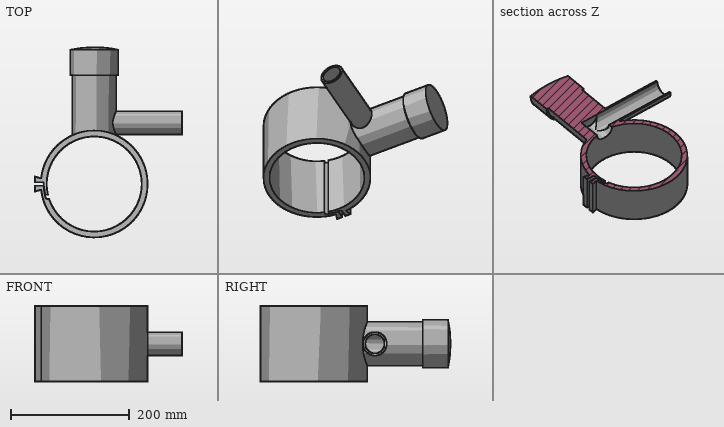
import cadquery as cq
import math

ring_radius = 90.3
bore_radius = 80.0
ring_height = 128.0

split_width = 5.8
split_corner_radius = 1.5
lap_radius = 85.2
lap_clearance = 0.3
tongue_end_y = -18.3
pocket_end_y = -25.0
pocket_corner_radius = 4.0

lug_tip_x = -100.0
lug_root_x = -89.7
lug_tip_y = 13.0
lug_root_y = 9.5

pipe_radius = 37.3
cap_radius = 40.8
cap_start_y = 183.8
cap_edge_y = 226.5
cap_top_y = 231.0

branch_radius = 20.0
branch_y = 103.0
branch_end_x = 148.0

passage_radius = 16.0


def base_plane():
    """XY workplane at the lower face of the ring."""
    return cq.Workplane("XY", origin=(0, 0, -ring_height / 2))


def upright(sketch):
    """Extrude an XY outline over the full ring height."""
    return sketch.extrude(ring_height)


def upright_cylinder(radius):
    return upright(base_plane().circle(radius))


def cylinder_along_y(radius, start_y, end_y):
    return cq.Workplane("XZ", origin=(0, start_y, 0)).circle(radius).extrude(start_y - end_y)


def cylinder_along_x(radius, end_x):
    return cq.Workplane("YZ", origin=(0, branch_y, 0)).circle(radius).extrude(end_x)


def make_lugs():
    """Pair of lugs flaring outward, joined until the split is cut."""
    outline = [
        (-lap_radius, lug_root_y),
        (lug_root_x, lug_root_y),
        (lug_tip_x, lug_tip_y),
        (lug_tip_x, -lug_tip_y),
        (lug_root_x, -lug_root_y),
        (-lap_radius, -lug_root_y),
    ]
    return upright(base_plane().polyline(outline).close())


def make_pipe():
    """Main pipe and cap; the cap ends in a shallow spherical dome."""
    pipe = cylinder_along_y(pipe_radius, 0, cap_start_y)
    dome_height = cap_top_y - cap_edge_y
    sphere_radius = (cap_radius**2 + dome_height**2) / (2 * dome_height)
    mid_x = cap_radius / 2
    mid_y = cap_top_y - sphere_radius + math.sqrt(sphere_radius**2 - mid_x**2)
    cap = (
        cq.Workplane("XY")
        .moveTo(0, cap_start_y)
        .lineTo(cap_radius, cap_start_y)
        .lineTo(cap_radius, cap_edge_y)
        .threePointArc((mid_x, mid_y), (0, cap_top_y))
        .close()
        .revolve(360, (0, 0, 0), (0, 1, 0))
    )
    return pipe.union(cap)


def box_between(x_min, x_max, y_min, y_max):
    """Full-height box given by its X and Y limits."""
    return upright(
        base_plane()
        .center((x_min + x_max) / 2, (y_min + y_max) / 2)
        .rect(x_max - x_min, y_max - y_min)
    )


def make_split():
    """Slot between the lugs, stopping at the outer face of the tongue."""
    half = split_width / 2
    slot = box_between(lug_tip_x, -lap_radius, -half, half)
    return slot.edges("|Z and >X and >Y").fillet(split_corner_radius)


def make_lap_pocket():
    """Space inside the lower ring end, less the tongue that slides in it."""
    pocket_x = -math.sqrt(lap_radius**2 - pocket_end_y**2)
    pocket = box_between(-lap_radius, pocket_x / 2, pocket_end_y, -split_width / 2)
    pocket = pocket.intersect(upright_cylinder(lap_radius))
    corner = cq.selectors.NearestToPointSelector((pocket_x, pocket_end_y, 0))
    pocket = pocket.edges(corner).fillet(pocket_corner_radius)
    tongue = upright_cylinder(lap_radius - lap_clearance).cut(upright_cylinder(bore_radius))
    tongue = tongue.intersect(box_between(-lap_radius, 0, tongue_end_y, 0))
    return pocket.cut(tongue)


def make_passage():
    """Blind bore along the main pipe, opening into the bore of the branch."""
    inlet = cylinder_along_y(passage_radius, 0, branch_y + passage_radius)
    outlet = cylinder_along_x(passage_radius, branch_end_x)
    return inlet.union(outlet)



result = (
    upright_cylinder(ring_radius)
    .union(make_lugs())
    .union(make_pipe())
    .union(cylinder_along_x(branch_radius, branch_end_x))
    .cut(upright_cylinder(bore_radius))
    .cut(make_split())
    .cut(make_lap_pocket())
    .cut(make_passage())
    .clean()
)